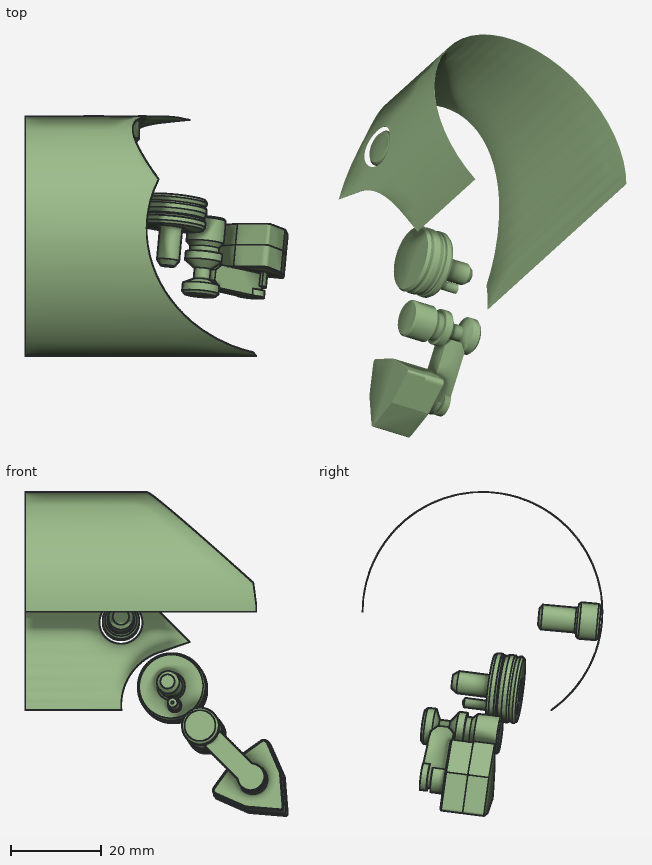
import cadquery as cq
import math

COVER_RADIUS = 26.49
COVER_WALL = 0.035
COVER_LENGTH = 51.05
COVER_SWEEP = 235.0
TRIM_TILT = 0.06
TRIM_START_X = 26.8
TRIM_END = (50.4, 4.85)
UPPER_SCALLOP = ((33.6, 25.45), (23.8, 13.2), (27.6, 2.15))
REAR_CORNER = (36.4, -6.65)
LOWER_SCALLOP_START = (30.6, -8.65)
LOWER_SCALLOP_MIDDLE = (23.6, -13.4)
LOWER_SCALLOP_END = (21.3, -21.7)
TOOL_REACH = 32.2

SCREW_TIP = (21.15, 12.4, -1.1)
SCREW_TILT = 5.2
SCREW_HOLE_RADIUS = 4.7
SCREW_SHANK_RADIUS = 2.8
SCREW_COLLAR_RADIUS = 3.0
SCREW_HEAD_RADIUS = 4.1
SCREW_TIP_CHAMFER = (0.7, 1.0)
SCREW_COLLAR_DEPTH = 8.15
SCREW_HEAD_DEPTH = 8.6
SCREW_HEAD_CHAMFER = 0.6
SCREW_LENGTH = 13.6

SWING = 5.4
PITCH = 7.3

DISC_CENTRE = (32.25, 1.85, -16.45)
DISC_RADIUS = 7.5
DISC_THICKNESS = 6.6
DISC_FACE_RADIUS = 7.1
DISC_CHAMFER = 0.65
DISC_GROOVE_RADIUS = 7.1
DISC_RIDGE_RADIUS = 7.3
SHAFT_RADIUS = 2.5
SHAFT_LENGTH = 8.6
SHAFT_TIP_CHAMFER = (1.3, 0.9)
SHAFT_COUNTERSINK = 0.6
PIN_RADIUS = 1.1
PIN_LENGTH = 5.65
PIN_TIP_CHAMFER = (0.4, 0.8)
PIN_COUNTERSINK = 0.4
PIN_OFFSET = 4.35
PIN_ANGLE = -34.0

SPINDLE_CENTRE = (38.6, -13.1, -25.1)
SPINDLE_FACE_RADIUS = 3.4
FLANGE_RADIUS = 4.1
SPINDLE_NECK_RADIUS = 1.8
SPINDLE_NECK_FRONT = 3.6
SPINDLE_NECK_BACK = 5.9
GROOVE_RADIUS = 3.2
SPINDLE_BODY_RADIUS = 4.15
SPINDLE_LENGTH = 17.2

ARM_LENGTH = 15.7
ARM_WIDTH = 4.7
ARM_FRONT = 2.15
ARM_BACK = 7.3
ARM_FRONT_SHOULDER = 3.7
ARM_BACK_SHOULDER = 3.5
ARM_EYE_RADIUS = 3.0
ARM_EYE_THICKNESS = 1.5

COLLAR_RADIUS = 3.2
COLLAR_FRONT = 4.5

HEAD_FRONT = 7.7
HEAD_BACK_X = -6.2
HEAD_WING = (-4.8, 8.65)
HEAD_SHOULDER = (3.15, 5.6)
HEAD_TIP_X = 9.8
HEAD_FRONT_THICKNESS = 5.1
HEAD_REAR_THICKNESS = 4.7
HEAD_FRONT_WING_ROUND = 1.1
HEAD_REAR_WING_ROUND = 0.6
HEAD_TIP_ROUND = 0.6
HEAD_EDGE_CHAMFER = 0.3


FORWARD = cq.Vector(-math.tan(math.radians(SWING)), -1, math.tan(math.radians(PITCH)))
ARM_DIRECTION = cq.Vector(1, FORWARD.x - FORWARD.z, -1)
SCREW_FORWARD = cq.Vector(0, -1, math.tan(math.radians(SCREW_TILT)))

disc_plane = cq.Plane(origin=DISC_CENTRE, xDir=ARM_DIRECTION, normal=FORWARD)
spindle_plane = cq.Plane(origin=SPINDLE_CENTRE, xDir=ARM_DIRECTION, normal=FORWARD)
screw_plane = cq.Plane(origin=SCREW_TIP, xDir=(1, 0, 0), normal=SCREW_FORWARD)


def shifted(plane, x=0, y=0, depth=0):
    """Return the plane moved in its own directions, depth going backward."""
    origin = plane.toWorldCoords((x, y, -depth))
    return cq.Plane(origin=origin, xDir=plane.xDir, normal=plane.zDir)


def turned(plane, profile):
    """Revolve (depth, radius) points about the plane's normal, depth going backward."""
    first_depth = profile[0][0]
    last_depth = profile[-1][0]
    points = [(0, -first_depth)]
    points += [(radius, -depth) for depth, radius in profile]
    points += [(0, -last_depth)]
    body = cq.Workplane("XZ").polyline(points).close().revolve(360, (0, 0), (0, 1))
    return cq.Workplane(body.val().moved(cq.Location(plane)))


def make_cover():
    """Thin curved sheet with a sloping front end, a scalloped rear edge and a screw hole."""
    start = cq.Workplane("YZ").moveTo(-COVER_RADIUS, 0)

    def on_round(radius, degrees):
        angle = math.radians(180 - degrees)
        return (radius * math.cos(angle), radius * math.sin(angle))

    inner_radius = COVER_RADIUS - COVER_WALL
    sheet = (
        start.threePointArc(on_round(COVER_RADIUS, COVER_SWEEP / 2), on_round(COVER_RADIUS, COVER_SWEEP))
        .lineTo(*on_round(inner_radius, COVER_SWEEP))
        .threePointArc(on_round(inner_radius, COVER_SWEEP / 2), (-inner_radius, 0))
        .close()
        .extrude(COVER_LENGTH)
    )

    end_x, end_height = TRIM_END
    slope = (end_x - TRIM_START_X) / (COVER_RADIUS - end_height)
    top = COVER_RADIUS + TOOL_REACH
    trim_plane = cq.Plane(origin=(0, 0, 0), xDir=(1, 0, 0), normal=(0, -1, TRIM_TILT))
    sloping_trim = (
        cq.Workplane(trim_plane)
        .moveTo(TRIM_START_X - slope * TOOL_REACH, top)
        .lineTo(end_x, end_height)
        .lineTo(COVER_LENGTH, 0)
        .lineTo(COVER_LENGTH + TOOL_REACH, 0)
        .lineTo(COVER_LENGTH + TOOL_REACH, top)
        .close()
        .extrude(TOOL_REACH, both=True)
    )

    upper_start, upper_middle, upper_end = UPPER_SCALLOP
    far_x = COVER_LENGTH + TOOL_REACH
    rear_trim = (
        cq.Workplane("XZ")
        .moveTo(*upper_start)
        .threePointArc(upper_middle, upper_end)
        .lineTo(*REAR_CORNER)
        .lineTo(*LOWER_SCALLOP_START)
        .threePointArc(LOWER_SCALLOP_MIDDLE, LOWER_SCALLOP_END)
        .lineTo(LOWER_SCALLOP_END[0], -TOOL_REACH)
        .lineTo(far_x, -TOOL_REACH)
        .lineTo(far_x, upper_start[1])
        .close()
        .extrude(-TOOL_REACH)
    )

    screw_hole = cq.Workplane(screw_plane).circle(SCREW_HOLE_RADIUS).extrude(-TOOL_REACH)
    return sheet.cut(sloping_trim).cut(rear_trim).cut(screw_hole)


def make_screw():
    """Cap screw with a chamfered head, a short collar and a chamfered tip."""
    tip_depth, tip_inset = SCREW_TIP_CHAMFER
    chamfered_radius = SCREW_HEAD_RADIUS - SCREW_HEAD_CHAMFER
    return turned(screw_plane, [
        (0, SCREW_SHANK_RADIUS - tip_inset),
        (tip_depth, SCREW_SHANK_RADIUS),
        (SCREW_COLLAR_DEPTH, SCREW_SHANK_RADIUS),
        (SCREW_HEAD_DEPTH, SCREW_COLLAR_RADIUS),
        (SCREW_HEAD_DEPTH, chamfered_radius),
        (SCREW_HEAD_DEPTH + SCREW_HEAD_CHAMFER, SCREW_HEAD_RADIUS),
        (SCREW_LENGTH - SCREW_HEAD_CHAMFER, SCREW_HEAD_RADIUS),
        (SCREW_LENGTH, chamfered_radius),
    ])


pin_plane = shifted(
    disc_plane,
    PIN_OFFSET * math.cos(math.radians(PIN_ANGLE)),
    PIN_OFFSET * math.sin(math.radians(PIN_ANGLE)),
)


def make_countersunk_hole(plane, radius, countersink):
    """Tool for a hole through the disc with a countersink at its front face."""
    return turned(plane, [(0, radius + countersink), (countersink, radius), (DISC_THICKNESS, radius)])


def make_disc():
    """Disc with a ridged groove, a rear V groove and two countersunk holes."""
    disc = turned(disc_plane, [
        (0, DISC_FACE_RADIUS),
        (DISC_CHAMFER, DISC_RADIUS),
        (1.7, DISC_RADIUS),
        (1.7, DISC_GROOVE_RADIUS),
        (2.2, DISC_RIDGE_RADIUS),
        (2.5, DISC_GROOVE_RADIUS),
        (3.5, DISC_RADIUS),
        (4.6, DISC_RADIUS),
        (5.1, DISC_GROOVE_RADIUS),
        (5.9, DISC_RADIUS),
        (DISC_THICKNESS, DISC_FACE_RADIUS),
    ])
    shaft_hole = make_countersunk_hole(disc_plane, SHAFT_RADIUS, SHAFT_COUNTERSINK)
    pin_hole = make_countersunk_hole(pin_plane, PIN_RADIUS, PIN_COUNTERSINK)
    return disc.cut(shaft_hole).cut(pin_hole)


def make_rod(plane, radius, length, chamfer_depth, chamfer_inset):
    """Round rod through the disc with a chamfered front tip."""
    return turned(plane, [
        (-length, radius - chamfer_inset),
        (chamfer_depth - length, radius),
        (DISC_THICKNESS, radius),
    ])


def make_spindle():
    """Turned spindle: front flange, neck, middle flange, groove and rear body."""
    return turned(spindle_plane, [
        (0, SPINDLE_FACE_RADIUS),
        (0.65, FLANGE_RADIUS),
        (2.4, FLANGE_RADIUS),
        (SPINDLE_NECK_FRONT, SPINDLE_NECK_RADIUS),
        (SPINDLE_NECK_BACK, SPINDLE_NECK_RADIUS),
        (7.65, FLANGE_RADIUS),
        (9.45, FLANGE_RADIUS),
        (9.45, GROOVE_RADIUS),
        (10.7, GROOVE_RADIUS),
        (11.0, 3.35),
        (11.8, SPINDLE_BODY_RADIUS),
        (SPINDLE_LENGTH - 0.35, SPINDLE_BODY_RADIUS),
        (SPINDLE_LENGTH, SPINDLE_BODY_RADIUS - 0.35),
    ])


def make_arm(spindle):
    """Thick bar, narrowed to fit between the flanges, with a round end and a thin eye."""
    side_plane = cq.Plane(
        origin=spindle_plane.origin, xDir=spindle_plane.xDir, normal=spindle_plane.yDir * -1
    )
    bar = (
        cq.Workplane(side_plane)
        .polyline([
            (SPINDLE_NECK_RADIUS, -SPINDLE_NECK_FRONT),
            (ARM_FRONT_SHOULDER, -ARM_FRONT),
            (ARM_LENGTH, -ARM_FRONT),
            (ARM_LENGTH, -ARM_BACK),
            (ARM_BACK_SHOULDER, -ARM_BACK),
            (SPINDLE_NECK_RADIUS, -SPINDLE_NECK_BACK),
        ])
        .close()
        .extrude(ARM_WIDTH / 2, both=True)
    )
    eye_plane = shifted(spindle_plane, x=ARM_LENGTH, depth=ARM_FRONT)
    round_end = cq.Workplane(eye_plane).circle(ARM_WIDTH / 2).extrude(ARM_FRONT - ARM_BACK)
    eye = cq.Workplane(eye_plane).circle(ARM_EYE_RADIUS).extrude(-ARM_EYE_THICKNESS)
    return bar.union(round_end).union(eye).cut(spindle)


def make_collar():
    """Half ring standing on the head, around the round end of the arm."""
    plane = shifted(spindle_plane, x=ARM_LENGTH, depth=COLLAR_FRONT)
    inner_radius = ARM_WIDTH / 2
    return (
        cq.Workplane(plane)
        .moveTo(0, -COLLAR_RADIUS)
        .threePointArc((COLLAR_RADIUS, 0), (0, COLLAR_RADIUS))
        .lineTo(0, inner_radius)
        .threePointArc((inner_radius, 0), (0, -inner_radius))
        .close()
        .extrude(COLLAR_FRONT - HEAD_FRONT)
    )


def make_head_layer(front_depth, thickness, wing_round):
    """One layer of the head: an arrow outline with rounded wings and tip."""
    plane = shifted(spindle_plane, x=ARM_LENGTH, depth=front_depth)
    wing_x, wing_y = HEAD_WING
    shoulder_x, shoulder_y = HEAD_SHOULDER
    layer = (
        cq.Workplane(plane)
        .polyline([
            (HEAD_BACK_X, 0),
            (wing_x, wing_y),
            (shoulder_x, shoulder_y),
            (HEAD_TIP_X, 0),
            (shoulder_x, -shoulder_y),
            (wing_x, -wing_y),
        ])
        .close()
        .extrude(-thickness)
    )
    middle_depth = -thickness / 2

    def edge_at(x, y):
        return cq.selectors.NearestToPointSelector(plane.toWorldCoords((x, y, middle_depth)).toTuple())

    for side in (1, -1):
        layer = layer.edges(edge_at(wing_x, side * wing_y)).fillet(wing_round)
    return layer.edges(edge_at(HEAD_TIP_X, 0)).fillet(HEAD_TIP_ROUND)


def make_head_front():
    """Front layer, with a chamfer around its front face."""
    layer = make_head_layer(HEAD_FRONT, HEAD_FRONT_THICKNESS, HEAD_FRONT_WING_ROUND)
    return layer.faces(cq.selectors.DirectionMinMaxSelector(FORWARD, True)).chamfer(HEAD_EDGE_CHAMFER)


def make_head_rear():
    """Plain rear layer."""
    return make_head_layer(HEAD_FRONT + HEAD_FRONT_THICKNESS, HEAD_REAR_THICKNESS, HEAD_REAR_WING_ROUND)


cover = make_cover()
screw = make_screw()
disc = make_disc()
shaft = make_rod(disc_plane, SHAFT_RADIUS, SHAFT_LENGTH, *SHAFT_TIP_CHAMFER)
pin = make_rod(pin_plane, PIN_RADIUS, PIN_LENGTH, *PIN_TIP_CHAMFER)
spindle = make_spindle()
arm = make_arm(spindle)
collar = make_collar()
head_front = make_head_front()
head_rear = make_head_rear()

bodies = [cover, screw, disc, shaft, pin, spindle, arm, collar, head_front, head_rear]
result = cq.Compound.makeCompound([body.val() for body in bodies])